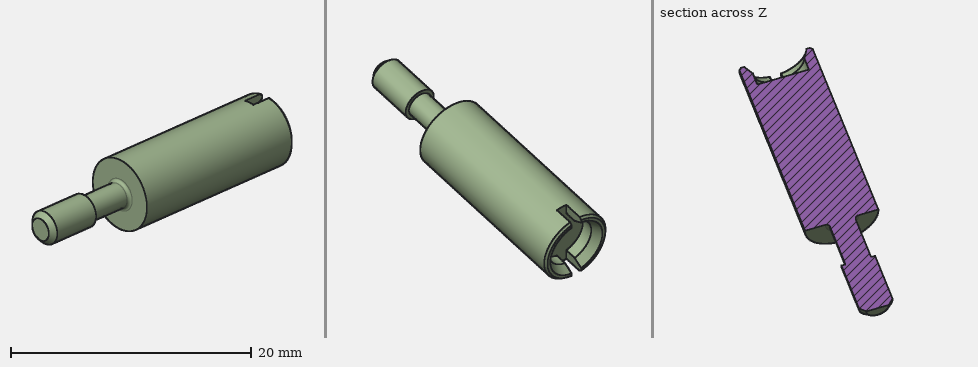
import cadquery as cq
import math

head_diameter = 6.5
head_length = 17.0
head_chamfer = 0.2

slot_width = 1.0
slot_depth = 2.0

bore_diameter = 4.5
bore_depth = slot_depth
mouth_diameter = 5.5
mouth_angle = 60.0
mouth_depth = (mouth_diameter - bore_diameter) / 2 / math.tan(math.radians(mouth_angle / 2))

neck_diameter = 2.3
neck_length = 4.2
neck_fillet = 0.3

tip_diameter = 3.0
tip_length = 5.0
tip_chamfer = 0.5

neck_end = -neck_length
tip_end = neck_end - tip_length


def cylinder_along_y(diameter, start, length):
    """Cylinder on the Y axis running from start toward +Y."""
    base = cq.Workplane("XZ", origin=(0, start, 0))
    return base.circle(diameter / 2).extrude(-length)


def make_head():
    head = cylinder_along_y(head_diameter, 0, head_length)
    return head.faces(">Y").chamfer(head_chamfer)


def make_neck():
    return cylinder_along_y(neck_diameter, neck_end, neck_length)


def make_tip():
    tip = cylinder_along_y(tip_diameter, tip_end, tip_length)
    return tip.faces("<Y").chamfer(tip_chamfer)


def fillet_neck_root(body):
    """Round the inner corner where the neck meets the shoulder of the head."""
    neck_radius = neck_diameter / 2
    reach = neck_radius + neck_fillet
    root_edge = cq.selectors.BoxSelector(
        (-reach, -neck_fillet, -reach),
        (reach, neck_fillet, reach),
        boundingbox=True,
    )
    return body.edges(root_edge).fillet(neck_fillet)


def make_slot():
    slot = cq.Workplane("XY").box(slot_width, slot_depth, head_diameter, centered=(True, False, True))
    return slot.translate((0, head_length - slot_depth, 0))


def make_bore():
    """Blind bore that widens to a conical mouth at the end of the head."""
    bore = cylinder_along_y(bore_diameter, head_length - bore_depth, bore_depth)
    mouth = cq.Solid.makeCone(
        mouth_diameter / 2,
        bore_diameter / 2,
        mouth_depth,
        pnt=cq.Vector(0, head_length, 0),
        dir=cq.Vector(0, -1, 0),
    )
    return bore.union(mouth)


body = make_head().union(make_neck()).union(make_tip())
body = fillet_neck_root(body)
result = body.cut(make_slot()).cut(make_bore())